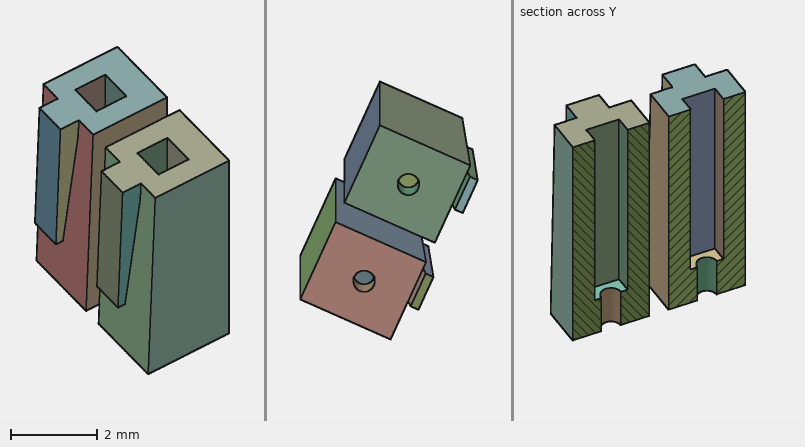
import cadquery as cq
import math

housing_count = 2
housing_pitch = 2.5
housing_width = 2.0
housing_height = 5.75
overall_depth = 2.75
housing_base_depth = 2.3
draft = math.tan(math.radians(2))

latch_width = 0.85
latch_length = 3.75
latch_root_length = 0.5
latch_tip_thickness = 0.2

cavity_size = 0.85
cavity_floor_thickness = 1.0
cavity_from_back = 1.175
pin_hole_diameter = 0.5

back_y = cavity_from_back
latch_tip_y = back_y - overall_depth
latch_top_y = latch_tip_y + latch_length * draft
front_bottom_y = back_y - housing_base_depth
front_top_y = front_bottom_y + housing_height * draft
latch_tip_z = housing_height - latch_length
latch_root_z = housing_height - latch_root_length
latch_root_y = front_top_y - latch_root_length * draft


def extrude_side_profile(points, width):
    """Extrude a Y-Z outline along X, centred on X = 0."""
    return cq.Workplane("YZ").polyline(points).close().extrude(width / 2, both=True)


def make_block():
    """Block with a vertical back and a front face leaning forward at the bottom."""
    outline = [
        (back_y, 0),
        (back_y, housing_height),
        (front_top_y, housing_height),
        (front_bottom_y, 0),
    ]
    return extrude_side_profile(outline, housing_width)


def make_latch():
    """Tapered arm joined to the block at its root and free below it."""
    outline = [
        (front_top_y, housing_height),
        (latch_top_y, housing_height),
        (latch_tip_y, latch_tip_z),
        (latch_tip_y + latch_tip_thickness, latch_tip_z),
        (latch_root_y, latch_root_z),
    ]
    return extrude_side_profile(outline, latch_width)


def make_cavity():
    """Square contact cavity and the round pin hole below it."""
    square = (
        cq.Workplane("XY")
        .workplane(offset=cavity_floor_thickness)
        .rect(cavity_size, cavity_size)
        .extrude(housing_height - cavity_floor_thickness)
    )
    pin_hole = cq.Workplane("XY").circle(pin_hole_diameter / 2).extrude(housing_height)
    return square.union(pin_hole)


def make_housing(center_x):
    """One complete housing, centred at the given X."""
    housing = make_block().union(make_latch()).cut(make_cavity())
    return housing.translate((center_x, 0, 0))


housings = []
for index in range(housing_count):
    center_x = (index - (housing_count - 1) / 2) * housing_pitch
    housings.append(make_housing(center_x))

result = cq.Compound.makeCompound([solid for housing in housings for solid in housing.solids().vals()])